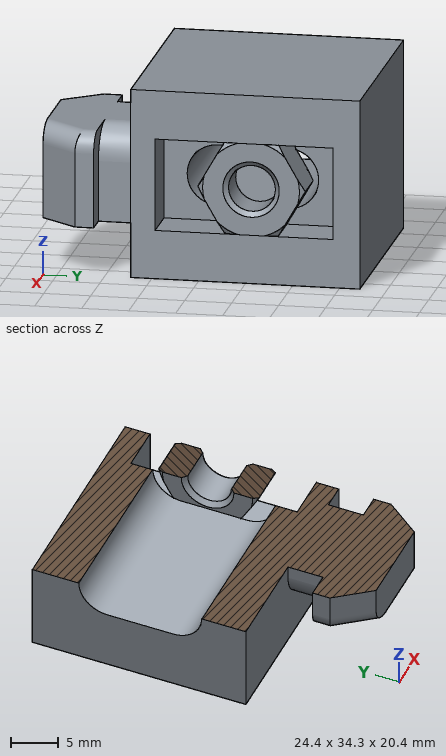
import cadquery as cq
import math

block_side = 24.4
block_height = 20.4
half_side = block_side / 2

hook_height = 10.1
head_width = 16.05
stem_width = 10.67
stem_length = 3.95
head_straight = 2.0
total_length = 34.3
head_taper_length = total_length - block_side - stem_length - head_straight
head_taper_inset = 3.02
stem_radius = 3.57
head_radius = 2.05
head_center_x = half_side - head_width / 2

slot_length = 14.0
slot_width = 6.5
slot_center_y = -0.15

nut_flats = 9.9
nut_corners = nut_flats / math.cos(math.pi / 6)
nut_thickness = 5.0
nut_face_diameter = 10.3
nut_hole_diameter = 4.97
nut_countersink_diameter = 6.0
nut_center_y = 0.62
nut_chamfer_angle = math.radians(30)

trap_length = slot_length - slot_width + nut_corners
trap_floor_x = half_side - nut_thickness


def make_stem():
    """Neck of the hook, rounded on two diagonally opposite edges."""
    stem = cq.Workplane("XY").box(stem_width, stem_length, hook_height)
    stem = stem.edges("|Y and ((>X and >Z) or (<X and <Z))").fillet(stem_radius)
    return stem.translate((head_center_x, -half_side - stem_length / 2, 0))


def make_head():
    """Tapered hook head, rounded along two diagonally opposite flanks."""
    half_width = head_width / 2
    half_tip = half_width - head_taper_inset
    tip_y = -head_straight - head_taper_length
    right_flank = [(half_width, 0), (half_width, -head_straight), (half_tip, tip_y)]
    left_flank = [(-x, y) for x, y in reversed(right_flank)]
    head = (
        cq.Workplane("XY")
        .polyline(right_flank + left_flank)
        .close()
        .extrude(hook_height / 2, both=True)
    )
    top_right = head.faces(">Z").edges().filter(lambda edge: edge.Center().x > half_tip)
    bottom_left = head.faces("<Z").edges().filter(lambda edge: edge.Center().x < -half_tip)
    head = head.newObject(top_right.vals() + bottom_left.vals()).fillet(head_radius)
    return head.translate((head_center_x, -half_side - stem_length, 0))


def make_housing():
    """Block and hook in one piece, with the bolt slot and the nut trap cut out."""
    housing = cq.Workplane("XY").box(block_side, block_side, block_height)
    housing = housing.union(make_stem()).union(make_head())
    slot = (
        cq.Workplane("YZ", origin=(-half_side, slot_center_y, 0))
        .slot2D(slot_length, slot_width)
        .extrude(block_side)
    )
    trap = (
        cq.Workplane("YZ", origin=(trap_floor_x, slot_center_y, 0))
        .rect(trap_length, nut_flats)
        .extrude(nut_thickness)
    )
    return housing.cut(slot).cut(trap)


def make_nut():
    """Hexagon nut with chamfered corners and a countersunk hole along X."""
    nut = (
        cq.Workplane("XY")
        .polygon(6, nut_corners)
        .extrude(nut_thickness)
    )
    face_radius = nut_face_diameter / 2
    corner_radius = nut_corners / 2
    corner_drop = (corner_radius - face_radius) * math.tan(nut_chamfer_angle)
    corner_cone = (
        cq.Workplane("XZ")
        .polyline([
            (0, 0),
            (face_radius, 0),
            (corner_radius, corner_drop),
            (corner_radius, nut_thickness - corner_drop),
            (face_radius, nut_thickness),
            (0, nut_thickness),
        ])
        .close()
        .revolve(360, (0, 0, 0), (0, 1, 0))
    )
    nut = nut.intersect(corner_cone)
    nut = nut.faces(">Z").workplane().hole(nut_hole_diameter)
    countersink = (nut_countersink_diameter - nut_hole_diameter) / 2
    nut = nut.edges(cq.selectors.RadiusNthSelector(0)).chamfer(countersink)
    nut = nut.rotate((0, 0, 0), (0, 0, 1), 90).rotate((0, 0, 0), (0, 1, 0), 90)
    return nut.translate((trap_floor_x, nut_center_y, 0))


housing = make_housing()
nut = make_nut()
result = cq.Compound.makeCompound([housing.solids().val(), nut.solids().val()])